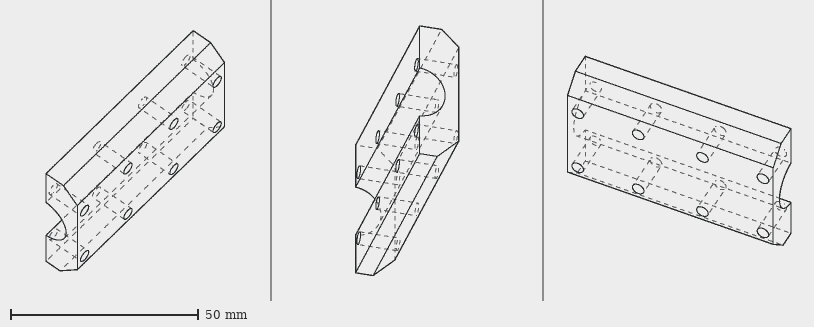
import cadquery as cq

thickness = 10.9
length = 61.0
height = 40.6

top_chamfer = 4.8
bottom_chamfer = 6.05

channel_height = 19.65
channel_radius = 7.6
channel_depth = 7.1

hole_diameter = 3.4
row_offset = 10.5
inner_hole_y = 9.5
outer_hole_y = 27.45


def make_block():
    """Rectangular bar with both back edges chamfered, centred on Y."""
    profile = [
        (0, 0),
        (thickness - bottom_chamfer, 0),
        (thickness, bottom_chamfer),
        (thickness, height - top_chamfer),
        (thickness - top_chamfer, height),
        (0, height),
    ]
    return cq.Workplane("XZ").polyline(profile).close().extrude(length / 2, both=True)


def make_channel():
    """Cylinder whose axis lies just in front of the -X face."""
    return (
        cq.Workplane("XZ")
        .center(channel_depth - channel_radius, channel_height)
        .circle(channel_radius)
        .extrude(length / 2, both=True)
    )


def make_holes():
    """Cylinders for the two rows of through holes."""
    centers = [
        (y, channel_height + side * row_offset)
        for side in (-1, 1)
        for y in (-outer_hole_y, -inner_hole_y, inner_hole_y, outer_hole_y)
    ]
    return cq.Workplane("YZ").pushPoints(centers).circle(hole_diameter / 2).extrude(thickness)


result = make_block().cut(make_channel()).cut(make_holes())